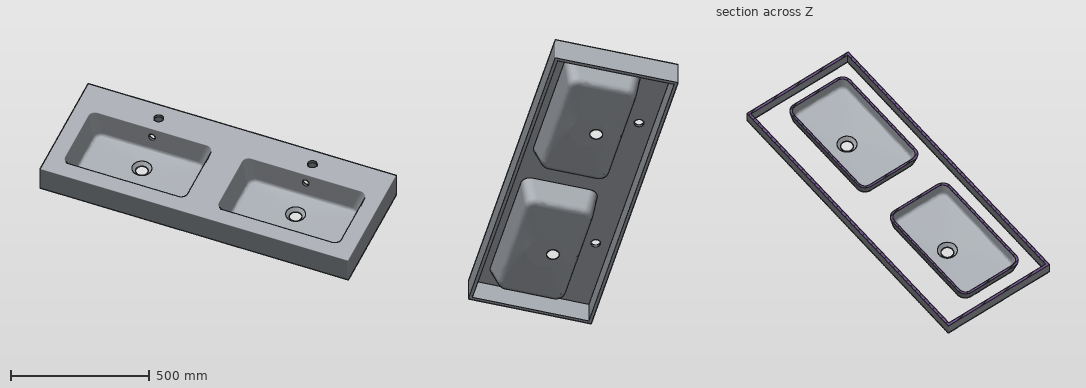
import math

import cadquery as cq

length = 1205.0
width = 460.0
total_height = 120.0
slab_height = 101.0
deck_thickness = 11.0
skirt_thickness = 12.0
edge_round = 2.0

basin_offset = 300.0
opening_length = 477.0
opening_back = 106.0
opening_front = -166.0
opening_corner = 25.0
side_inset = 28.0
front_inset = 28.0
back_inset = 15.0
foot_corner = 29.0
foot_round = 13.0
rim_round = 2.0

wall_thickness = 8.0
floor_thickness = 15.0
floor_fall = 10.0
drain_floor_z = floor_thickness - total_height
foot_z = drain_floor_z + floor_fall
dish_corner = 20.0
floor_ledge = 0.6
outline_steps = 8

pad_y = -24.0
pad_diameter = 133.0

drain_y = 5.0
drain_diameter = 46.0
recess_diameter = 72.0
drain_land = 2.0
overflow_diameter = 25.0
overflow_z = -36.0
tap_y = 165.0
tap_diameter = 35.0


def slab():
    """Rounded deck with a skirt round it, open underneath."""
    outer = (
        cq.Workplane()
        .box(length, width, slab_height, centered=(True, True, False))
        .translate((0, 0, -slab_height))
        .edges("|Z or >Z")
        .fillet(edge_round)
    )
    inner_length = length - 2 * skirt_thickness
    inner_width = width - 2 * skirt_thickness
    hollow = (
        cq.Workplane()
        .box(inner_length, inner_width, slab_height, centered=(True, True, False))
        .translate((0, 0, -deck_thickness - slab_height))
    )
    return outer.cut(hollow)


def rounded_rectangle(z, x_half, y_front, y_back, corner):
    """Wire of a rounded rectangle at height z, symmetric about x = 0."""
    block = (
        cq.Workplane(origin=(0, (y_front + y_back) / 2, z))
        .rect(2 * x_half, y_back - y_front)
        .extrude(12)
        .edges("|Z")
        .fillet(corner)
    )
    return block.faces("<Z").val().outerWire()


def corner_curve(sign_x, sign_y, x_reach, y_reach, corner, centre_y, z):
    """Single smooth edge round one corner of the floor, from its x axis to its y axis."""
    x_arc = x_reach - corner
    y_arc = y_reach - corner
    steps = [i / outline_steps for i in range(outline_steps)]
    side = [(x_reach, y_arc * t) for t in steps]
    angles = [math.pi / 2 * t for t in steps]
    turn = [(x_arc + corner * math.cos(a), y_arc + corner * math.sin(a)) for a in angles]
    end = [(x_arc * (1 - t), y_reach) for t in steps + [1]]
    outline = side + turn + end
    return cq.Edge.makeSpline([cq.Vector(sign_x * x, centre_y + sign_y * y, z) for x, y in outline])


def quarter_circle(sign_x, sign_y, radius, centre_y, z):
    """Quarter of a level circle, from its x axis to its y axis."""
    diagonal = radius * math.sqrt(0.5)
    return cq.Edge.makeThreePointArc(
        cq.Vector(sign_x * radius, centre_y, z),
        cq.Vector(sign_x * diagonal, centre_y + sign_y * diagonal, z),
        cq.Vector(0, centre_y + sign_y * radius, z),
    )


def floor_dish(flat_floor, corner, circle_y, circle_diameter, circle_z):
    """Four smooth quarters falling from just inside the flat floor's edge to a circle."""
    box = flat_floor.BoundingBox()
    x_reach = box.xmax - floor_ledge
    y_reach = {1: box.ymax - floor_ledge - circle_y, -1: circle_y - box.ymin - floor_ledge}
    quarters = ((1, 1), (-1, 1), (-1, -1), (1, -1))
    upper = [corner_curve(sx, sy, x_reach, y_reach[sy], corner, circle_y, box.zmin) for sx, sy in quarters]
    lower = [quarter_circle(sx, sy, circle_diameter / 2, circle_y, circle_z) for sx, sy in quarters]
    slopes = [cq.Face.makeRuledSurface(top, bottom) for top, bottom in zip(upper, lower)]
    caps = [cq.Face.makeFromWires(cq.Wire.assembleEdges(edges)) for edges in (upper, lower)]
    return cq.Workplane(cq.Solid.makeSolid(cq.Shell.makeShell(slopes + caps)))


def bowl(grow, drop, circle_y, circle_diameter):
    """Bowl widened by grow on every side and deepened by drop, its floor falling to a circle."""
    opening = rounded_rectangle(
        0, opening_length / 2 + grow, opening_front - grow, opening_back + grow, opening_corner + grow
    )
    foot = rounded_rectangle(
        foot_z - drop,
        opening_length / 2 - side_inset + grow,
        opening_front + front_inset - grow,
        opening_back - back_inset + grow,
        foot_corner + grow,
    )
    walls = cq.Workplane(cq.Solid.makeLoft([opening, foot], True))
    walls = walls.faces("<Z").edges().fillet(foot_round + grow)
    flat_floor = walls.faces("<Z").val()
    return walls.union(
        floor_dish(flat_floor, dish_corner + grow, circle_y, circle_diameter, drain_floor_z - drop)
    )


def drain_hole():
    """Conical recess with a short plain hole below it."""
    cone_depth = floor_thickness - drain_land
    cone = cq.Solid.makeCone(
        drain_diameter / 2, recess_diameter / 2, cone_depth, cq.Vector(0, drain_y, drain_floor_z - cone_depth)
    )
    bore = (
        cq.Workplane(origin=(0, drain_y, -total_height))
        .circle(drain_diameter / 2)
        .extrude(floor_thickness)
    )
    return bore.union(cq.Workplane(cone))


def overflow_hole():
    """Horizontal hole through the back wall of the bowl, into the space under the deck."""
    hole_length = opening_back + 2 * wall_thickness - drain_y
    return (
        cq.Workplane("XZ", origin=(0, drain_y, overflow_z))
        .circle(overflow_diameter / 2)
        .extrude(-hole_length)
    )


def tap_hole():
    """Plain hole through the deck."""
    return cq.Workplane(origin=(0, tap_y, -deck_thickness)).circle(tap_diameter / 2).extrude(deck_thickness)


def opening_rim(centre_x):
    """Selector for the edges where one basin opening meets the deck."""
    return cq.selectors.BoxSelector(
        (centre_x - opening_length / 2 - rim_round, opening_front - rim_round, -rim_round),
        (centre_x + opening_length / 2 + rim_round, opening_back + rim_round, rim_round),
        boundingbox=True,
    )


bowl_shell = bowl(wall_thickness, floor_thickness, pad_y, pad_diameter)
bowl_void = bowl(0, 0, drain_y, recess_diameter)
basin_cuts = (bowl_void, drain_hole(), overflow_hole(), tap_hole())

result = slab()
for basin_x in (-basin_offset, basin_offset):
    result = result.union(bowl_shell.translate((basin_x, 0, 0)))
    for cut in basin_cuts:
        result = result.cut(cut.translate((basin_x, 0, 0)))
    result = result.edges(opening_rim(basin_x)).fillet(rim_round)